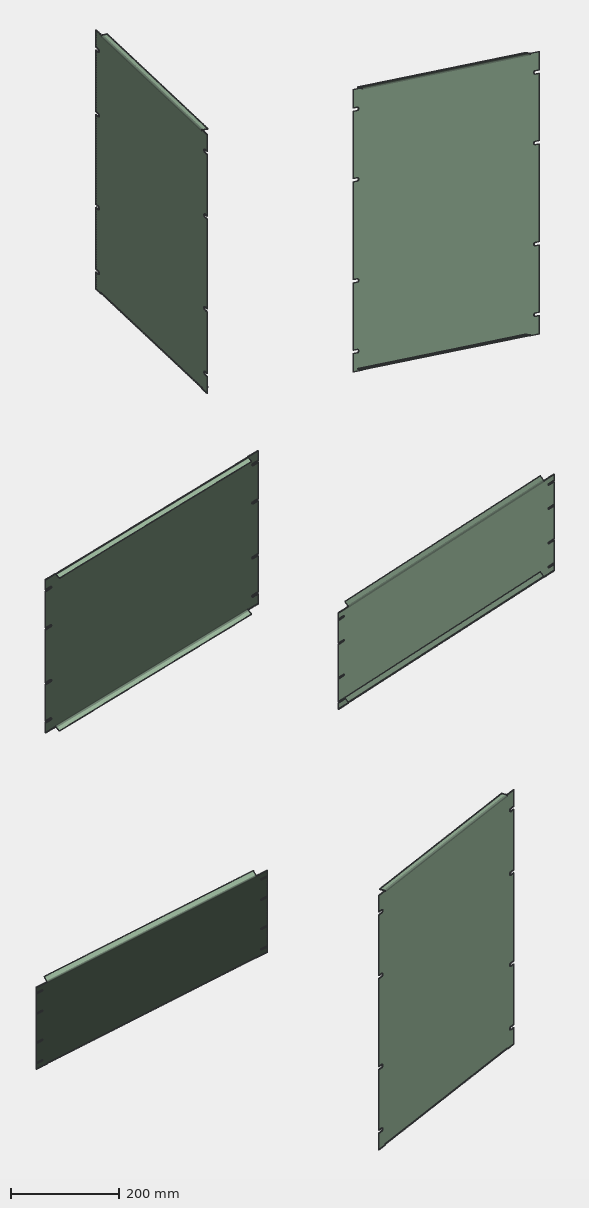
import cadquery as cq

width = 482.5
height = 532.5
depth = 13.0
thickness = 1.5

flange_inset = 23.0
bend_inner_radius = 0.75
bend_outer_radius = bend_inner_radius + thickness
flange_length = width - 2 * flange_inset

slot_depth = 14.0
slot_height = 6.5
inner_slot_spacing = 190.5
outer_slot_spacing = 457.0


def make_panel():
    """Flat sheet with its front face at Y = 0."""
    return cq.Workplane("XY").box(width, thickness, height, centered=(True, False, True))


def make_folded_channel():
    """Web and both flanges, with rounded bends at the front corners."""
    outer = cq.Workplane("XY").box(flange_length, depth, height, centered=(True, False, True))
    outer = outer.faces("<Y").edges("|X").fillet(bend_outer_radius)
    inner = (
        cq.Workplane("XY")
        .box(flange_length, depth, height - 2 * thickness, centered=(True, False, True))
        .faces("<Y").edges("|X").fillet(bend_inner_radius)
        .translate((0, thickness, 0))
    )
    return outer.cut(inner)


def make_bend_clearance():
    """Space along the panel edges that the rounded bends replace."""
    clear_height = height - 2 * bend_outer_radius
    span = cq.Workplane("XY").box(flange_length, thickness, height, centered=(True, False, True))
    web = cq.Workplane("XY").box(flange_length, thickness, clear_height, centered=(True, False, True))
    return span.cut(web)


def make_slots():
    """Round-ended cutters, centered on the side edges so that each slot is open."""
    centers = [
        (side * width / 2, end * spacing / 2)
        for side in (-1, 1)
        for end in (-1, 1)
        for spacing in (inner_slot_spacing, outer_slot_spacing)
    ]
    return (
        cq.Workplane("XZ")
        .pushPoints(centers)
        .slot2D(2 * slot_depth, slot_height)
        .extrude(-thickness)
    )


panel = make_panel().cut(make_bend_clearance())
result = panel.union(make_folded_channel()).cut(make_slots())